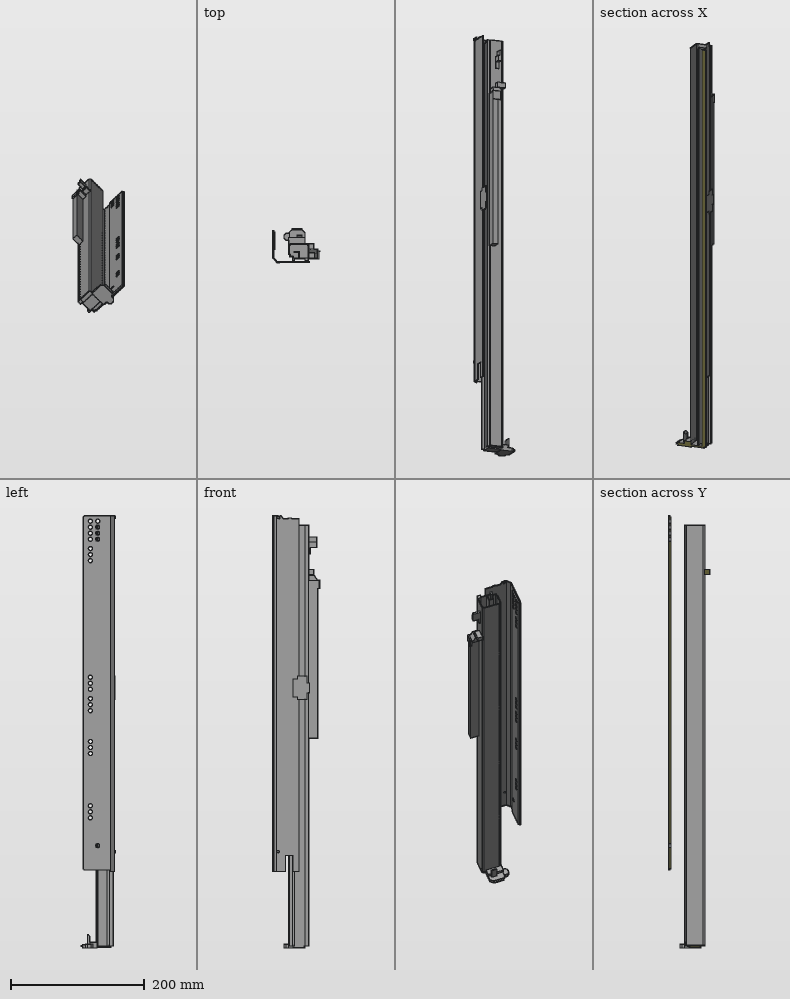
import cadquery as cq

overall_width = 70.18
overall_depth = 51.64
overall_height = 645.6

sheet = 1.5
flange_depth = 48.4
web_front = 1.3
web_back = web_front + sheet
web_right = 39.5
bend_run = 5.6
bend_rise = 6.6
flange_bottom = 116.2
web_bottom = 114.0
web_top = 641.2
flange_top_width = 8.0
flange_corner = 2.0
pad_thickness = 2.2
pad_front = 20.5
pad_back = 46.5

hole_diameter = 5.8
raster = 32.0
hole_pitch = 9.0
holes_per_group = 3
first_group_top = 212.4
group_raster_steps = (0, 3, 5, 6, 12, 13)
main_column = 37.5
second_column = 26.5
locating_hole_z = 153.0
locating_hole_diameter = 5.8

slot_left = 19.2
slot_right = 30.5
slot_top = 138.0
pin_diameter = 3.6
pin_x = 8.0
pin_heights = (144.0, 643.0)
tab_left = 10.5
tab_right = 15.5
tab_tip_width = 2.0
rib_left = 23.0
rib_right = 28.0
rib_height = 1.2

clip_middle = 388.5
clip_proud = 0.3
clip_outer_left = 30.5
clip_inner_left = 37.0
clip_right = 51.0
clip_tip = 54.8
clip_half_height = 17.4
clip_side_half_height = 13.3
clip_tip_half_height = 7.5

runner_left = 23.7
runner_right = 54.2
runner_back = 29.0
runner_front = 6.5
runner_bottom = 3.0
runner_top = 631.5
runner_wall = 1.5
runner_corner = 2.5
shoulder_y = 12.7
shoulder_x = 24.7
groove_x = 29.6
groove_y = 9.1
face_left = 32.8
lip_left = 47.8
lip_right = 53.2
lip_gap = 0.4
lip_front = web_back + lip_gap
rail_left = 32.0
rail_right = 39.6
rail_back = 17.5

cap_left = 30.5
cap_right = 47.0
cap_bottom = 1.2
bracket_right = 48.4
bracket_plate_top = 5.0
bracket_top = 9.0
bracket_back = 49.2
bracket_chamfer = 4.0
tip_bottom = 2.0
tip_top = 4.0
tip_left = 28.5
tip_right = 44.0
prong_left = 36.0
prong_right = 44.0
prong_front = 38.3
prong_back = 42.0
prong_top = 20.5
prong_point = 3.0
knob_left = 16.8
knob_front = 34.0
knob_back = 45.0
knob_chamfer = 3.0
knob_top = 6.0

damper_right = 67.4
damper_front = 6.0
damper_back = 14.4
damper_bottom = 313.0
damper_top = 548.5
latch_left = 67.0
latch_right = 69.2
latch_nub_front = 17.5
latch_bottom = 536.5
latch_top = 549.5
latch_back = 18.5
slope_top = 556.5
slope_top_right = 62.0
slope_front = 8.0
slope_back = 21.0
catch_right = 61.5
catch_front = 16.0
catch_bottom = 557.5
catch_top = 565.2
stop_right = 65.8
stop_front = 15.5
stop_back = 21.0
stop_bottom = 597.8
stop_step = 606.0
stop_top = 613.8
stop_upper_front = 18.0
stop_foot_right = 56.3
stop_foot_bottom = 588.0


def block(x0, x1, y0, y1, z0, z1):
    """Box between two opposite corners."""
    return cq.Workplane("XY").box(x1 - x0, y1 - y0, z1 - z0, centered=False).translate((x0, y0, z0))


def hole_positions():
    """(Y, Z) of every screw hole in the flange."""
    spots = []
    for step in group_raster_steps:
        group_top = first_group_top + step * raster
        for row in range(holes_per_group):
            spots.append((main_column, group_top - row * hole_pitch))
    upper_top = first_group_top + group_raster_steps[-1] * raster
    spots.append((main_column, upper_top + hole_pitch))
    for row in range(-1, holes_per_group):
        spots.append((second_column, upper_top - row * hole_pitch))
    return spots


def flange_hole(y, z, diameter):
    depth = sheet + pad_thickness
    return cq.Workplane("YZ").center(y, z).circle(diameter / 2).extrude(depth)


def clip_plate():
    """Stepped plate lying on the web, mirrored about its middle height."""
    upper = [
        (clip_outer_left, 0),
        (clip_outer_left, clip_side_half_height),
        (clip_inner_left, clip_side_half_height),
        (clip_inner_left, clip_half_height),
        (clip_right, clip_half_height),
        (clip_right, clip_tip_half_height),
        (clip_tip, clip_tip_half_height),
        (clip_tip, 0),
    ]
    plate = cq.Workplane("XZ").polyline(upper).close().extrude(-(sheet + clip_proud))
    plate = plate.union(plate.mirror("XY"))
    return plate.translate((0, web_front - clip_proud, clip_middle))


def build_cabinet_profile():
    flange = block(0, sheet, web_front + bend_rise, flange_depth, flange_bottom, overall_height)
    flange = flange.edges("|X and >Y").chamfer(flange_corner)
    pad = block(sheet, sheet + pad_thickness, pad_front, pad_back,
                flange_bottom + flange_corner, overall_height - flange_corner)
    bend_top = web_front + bend_rise
    bend = (
        cq.Workplane("XY", origin=(0, 0, web_bottom))
        .polyline([
            (0, bend_top), (bend_run, web_front), (flange_top_width, web_front),
            (flange_top_width, web_back), (bend_run + sheet / 2, web_back), (sheet, bend_top),
        ])
        .close()
        .extrude(overall_height - web_bottom)
    )
    web = block(bend_run, web_right, web_front, web_back, web_bottom, web_top)
    slot = block(slot_left, slot_right, web_front, web_back, web_bottom, slot_top)
    body = flange.union(pad).union(bend).union(web.cut(slot))

    tab = (
        cq.Workplane("XZ", origin=(0, web_front, 0))
        .polyline([
            (tab_left, web_top), (tab_left, overall_height),
            (tab_left + tab_tip_width, overall_height), (tab_right, web_top),
        ])
        .close()
        .extrude(-sheet)
    )
    rib = block(rib_left, rib_right, web_front, web_back, web_top, web_top + rib_height)
    body = body.union(tab).union(rib).union(clip_plate())

    for z in pin_heights:
        pin = cq.Workplane("XZ").center(pin_x, z).circle(pin_diameter / 2).extrude(-web_back)
        body = body.union(pin)

    for y, z in hole_positions():
        body = body.cut(flange_hole(y, z, hole_diameter))
    return body.cut(flange_hole(second_column, locating_hole_z, locating_hole_diameter))


def runner_tube():
    """Box profile with a stepped corner, closed bottom, two front lips and an inner rail."""
    outline = [
        (runner_left, runner_back),
        (runner_left, shoulder_y),
        (shoulder_x, shoulder_y),
        (shoulder_x, groove_y),
        (groove_x, groove_y),
        (groove_x, runner_front),
        (runner_right, runner_front),
        (runner_right, runner_back),
    ]
    length = runner_top - runner_bottom
    solid = cq.Workplane("XY", origin=(0, 0, runner_bottom)).polyline(outline).close().extrude(length)
    solid = solid.edges("|Z and >Y").chamfer(runner_corner)
    tube = solid.faces(">Z").shell(-runner_wall)
    for left, right in ((groove_x, face_left), (lip_left, lip_right)):
        lip = block(left, right, lip_front, runner_front + runner_wall, runner_bottom, runner_top)
        tube = tube.union(lip)
    rail_web = block(rail_right - runner_wall, rail_right, runner_front, rail_back, runner_bottom, runner_top)
    rail_flange = block(rail_left, rail_right, rail_back - runner_wall, rail_back, runner_bottom, runner_top)
    return tube.union(rail_web).union(rail_flange)


def bottom_bracket():
    """Bottom plate with the bracket, hook tip, prong and knob behind the runner."""
    cap = block(cap_left, cap_right, runner_front, runner_back, cap_bottom, runner_bottom)
    arm = block(runner_left, bracket_right, runner_back - runner_wall, bracket_back, 0, bracket_plate_top)
    arm = arm.edges("|Z and >Y").chamfer(bracket_chamfer)
    raised = block(runner_left, bracket_right, runner_back - runner_wall, prong_front, 0, bracket_top)
    tip = block(tip_left, tip_right, bracket_back - sheet, overall_depth, tip_bottom, tip_top)
    prong = block(prong_left, prong_right, prong_front, prong_back, 0, prong_top)
    prong = prong.edges("|X and >Z and <Y").chamfer(prong_point)
    knob = block(knob_left, runner_left + runner_wall, knob_front, knob_back, 0, knob_top)
    knob = knob.edges("|Z and <X").chamfer(knob_chamfer)
    return cap.union(arm).union(raised).union(tip).union(prong).union(knob)


def damper():
    """Damper housing with its latch, sloping shoulder and catch."""
    inner = runner_right - runner_wall / 2
    housing = block(inner, damper_right, damper_front, damper_back, damper_bottom, damper_top)
    latch = block(latch_left, latch_right, damper_front, latch_back, latch_bottom, latch_top)
    nub = block(latch_left, overall_width, latch_nub_front, latch_back, latch_bottom, latch_top)
    shoulder_bottom = damper_top - runner_wall
    shoulder = (
        cq.Workplane("XZ", origin=(0, slope_front, 0))
        .polyline([
            (inner, shoulder_bottom), (damper_right, shoulder_bottom), (damper_right, damper_top),
            (slope_top_right, slope_top), (inner, slope_top),
        ])
        .close()
        .extrude(slope_front - slope_back)
    )
    catch = block(inner, catch_right, catch_front, runner_back, catch_bottom, catch_top)
    return housing.union(latch).union(nub).union(shoulder).union(catch)


def end_stop():
    inner = runner_right - runner_wall / 2
    lower = block(inner, stop_right, stop_front, stop_back, stop_bottom, stop_step)
    upper = block(inner, stop_right, stop_upper_front, stop_back, stop_step, stop_top)
    foot = block(inner, stop_foot_right, stop_front, stop_back, stop_foot_bottom, stop_bottom)
    return lower.union(upper).union(foot)


cabinet_profile = build_cabinet_profile()
runner = runner_tube().union(bottom_bracket()).union(damper()).union(end_stop())

result = cq.Compound.makeCompound([cabinet_profile.val(), runner.val()])